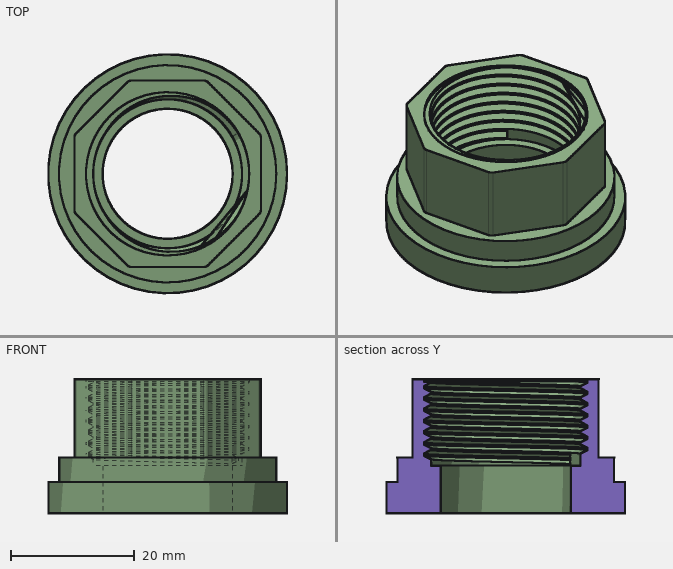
import cadquery as cq
import math

total_height = 21.7
flange_diameter = 38.7
flange_height = 5.1
collar_diameter = 35.18
collar_top = 9.05
across_flats = 30.2
flat_count = 8
corner_radius = 1.0

through_diameter = 21.0
ledge_height = 7.75
crest_diameter = 24.1
recess_diameter = 26.45
recess_depth = 0.4

root_diameter = 26.4
pitch = 1.8
flank_half_angle = math.radians(27.5)
root_flat = 0.3
start_angle = 30.0
cutter_overlap = 0.08


def make_body():
    flange = cq.Workplane("XY").circle(flange_diameter / 2).extrude(flange_height)
    collar = cq.Workplane("XY").circle(collar_diameter / 2).extrude(collar_top)
    across_corners = across_flats / math.cos(math.pi / flat_count)
    octagon = (
        cq.Workplane("XY")
        .polygon(flat_count, across_corners)
        .extrude(total_height)
        .rotate((0, 0, 0), (0, 0, 1), 180 / flat_count)
        .edges("|Z")
        .fillet(corner_radius)
    )
    return flange.union(collar).union(octagon)


def cut_bore(body):
    through = cq.Workplane("XY").circle(through_diameter / 2).extrude(total_height)
    threaded = (
        cq.Workplane("XY", origin=(0, 0, ledge_height))
        .circle(crest_diameter / 2)
        .extrude(total_height - ledge_height)
    )
    return body.cut(through).cut(threaded)


def cut_recess(body):
    recess = (
        cq.Workplane("XY", origin=(0, 0, total_height - recess_depth))
        .circle(recess_diameter / 2)
        .extrude(recess_depth)
    )
    return body.cut(recess)


def make_thread_cutter():
    """Helical V groove, running from above the ledge out through the top."""
    inner_radius = crest_diameter / 2 - cutter_overlap
    root_radius = root_diameter / 2
    root_half = root_flat / 2
    mouth_half = root_half + (root_radius - inner_radius) * math.tan(flank_half_angle)
    recess_floor = total_height - recess_depth
    turns_below = math.floor((recess_floor - ledge_height - mouth_half) / pitch)
    turns = turns_below + 1
    start = recess_floor - (turns_below - start_angle / 360) * pitch
    path = cq.Wire.makeHelix(pitch, turns * pitch, crest_diameter / 2, cq.Vector(0, 0, start))
    profile = cq.Workplane("XZ").polyline([
        (inner_radius, start - mouth_half),
        (root_radius, start - root_half),
        (root_radius, start + root_half),
        (inner_radius, start + mouth_half),
    ]).close()
    groove = profile.sweep(cq.Workplane(path), isFrenet=True)
    return groove.rotate((0, 0, 0), (0, 0, 1), start_angle)


threaded_nut = cut_bore(make_body()).cut(make_thread_cutter())
result = cut_recess(threaded_nut)